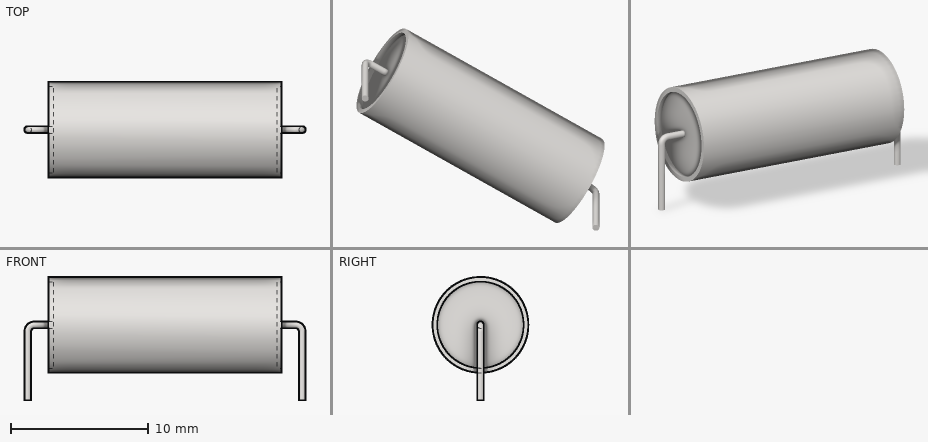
import cadquery as cq

body_diameter = 7.0
body_length = 17.0
recess_diameter = 6.3
recess_depth = 0.35

lead_diameter = 0.5
lead_pitch = 20.0
lead_bend_radius = 0.5
lead_drop = 2.0

axis_height = body_diameter / 2
body_end = body_length / 2
lead_x = lead_pitch / 2
lead_root_x = body_end - 2 * recess_depth


def make_body():
    """Cylinder along X with a shallow round recess in each end face."""
    body = (
        cq.Workplane("YZ", origin=(-body_end, 0, axis_height))
        .circle(body_diameter / 2)
        .extrude(body_length)
    )
    for face in ("<X", ">X"):
        body = body.faces(face).workplane(origin=(0, 0, axis_height)).circle(recess_diameter / 2)
        body = body.cutBlind(-recess_depth)
    return body


def make_lead():
    """Round wire leaving the +X end along the body axis, then bending down."""
    path = (
        cq.Workplane("XZ")
        .moveTo(lead_root_x, axis_height)
        .lineTo(lead_x - lead_bend_radius, axis_height)
        .tangentArcPoint((lead_x, axis_height - lead_bend_radius), relative=False)
        .lineTo(lead_x, -lead_drop)
    )
    return (
        cq.Workplane("YZ", origin=(lead_root_x, 0, axis_height))
        .circle(lead_diameter / 2)
        .sweep(path)
    )


right_lead = make_lead()
left_lead = right_lead.mirror("YZ")

result = make_body().union(right_lead).union(left_lead)